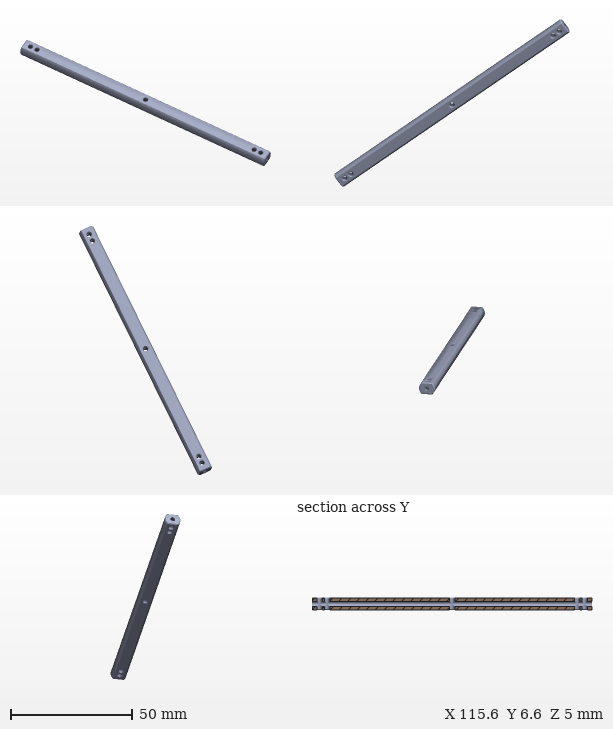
import cadquery as cq

length = 115.6
bar_diameter = 6.6
height_over_flats = 5.0
end_chamfer = 0.3

bore_diameter = 2.0

cross_hole_diameter = 2.0
cross_hole_chamfer = 0.2
outer_hole_offset = 54.7
inner_hole_offset = 51.6
cross_hole_positions = [-outer_hole_offset, -inner_hole_offset, 0, inner_hole_offset, outer_hole_offset]


def flattened_bar():
    """Bar centred on the origin, with chamfered end edges."""
    rod = cq.Workplane("YZ").circle(bar_diameter / 2).extrude(length / 2, both=True)
    flats = cq.Workplane("XY").box(length, bar_diameter, height_over_flats)
    return rod.intersect(flats).faces("<X or >X").chamfer(end_chamfer)


def axial_bore():
    """Cutter for the bore through the whole length."""
    return cq.Workplane("YZ").circle(bore_diameter / 2).extrude(length / 2, both=True)


def cross_hole(x):
    """Cutter for one through hole along Z, its mouth chamfered at both flats."""
    hole_radius = cross_hole_diameter / 2
    mouth_radius = hole_radius + cross_hole_chamfer
    flat_z = height_over_flats / 2
    chamfer_z = flat_z - cross_hole_chamfer
    half_section = [
        (0, -flat_z),
        (mouth_radius, -flat_z),
        (hole_radius, -chamfer_z),
        (hole_radius, chamfer_z),
        (mouth_radius, flat_z),
        (0, flat_z),
    ]
    cutter = cq.Workplane("XZ").polyline(half_section).close().revolve(360, (0, 0, 0), (0, 1, 0))
    return cutter.translate((x, 0, 0))


result = flattened_bar().cut(axial_bore())
for hole_x in cross_hole_positions:
    result = result.cut(cross_hole(hole_x))